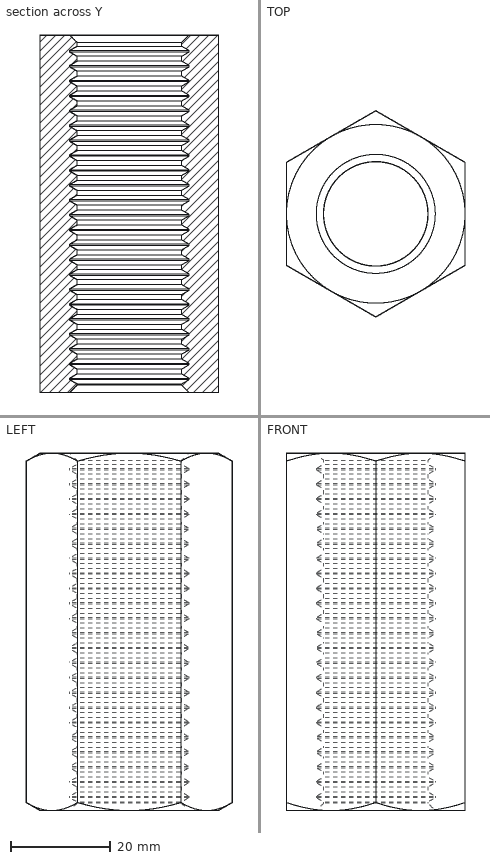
import cadquery as cq
import math

across_flats = 36.0
length = 72.0
hexagon_sides = 6
across_corners = across_flats / math.cos(math.pi / hexagon_sides)

thread_diameter = 24.0
bore_diameter = 21.0
pitch = 3.0
crest_width = 1.0
groove_width = pitch - crest_width
flank_angle = 30.0
groove_count = 23
lowest_groove_start = 1.75

corner_chamfer_angle = 30.0
mouth_chamfer_angle = 45.0

bore_radius = bore_diameter / 2
thread_radius = thread_diameter / 2
thread_depth = thread_radius - bore_radius
flank_width = thread_depth * math.tan(math.radians(flank_angle))
mouth_chamfer_depth = thread_depth / math.tan(math.radians(mouth_chamfer_angle))


def make_hexagon_body():
    """Hexagonal bar along Z with flats facing +X and -X, starting at Z = 0."""
    return (
        cq.Workplane("XY")
        .transformed(rotate=(0, 0, 90))
        .polygon(hexagon_sides, across_corners)
        .extrude(length)
    )


def make_corner_envelope():
    """Turned envelope whose conical ends trim the hexagon corners."""
    face_radius = across_flats / 2
    corner_radius = across_corners / 2
    corner_drop = (corner_radius - face_radius) * math.tan(math.radians(corner_chamfer_angle))
    return (
        cq.Workplane("XZ")
        .lineTo(face_radius, 0)
        .lineTo(corner_radius, corner_drop)
        .lineTo(corner_radius, length - corner_drop)
        .lineTo(face_radius, length)
        .lineTo(0, length)
        .close()
        .revolve(360, (0, 0, 0), (0, 1, 0))
    )


def make_threaded_bore():
    """Through bore with conical mouths, ringed by one thread groove per pitch."""
    profile = (
        cq.Workplane("XZ")
        .lineTo(thread_radius, 0)
        .lineTo(bore_radius, mouth_chamfer_depth)
    )
    for index in range(groove_count):
        groove_start = lowest_groove_start + index * pitch
        groove_end = groove_start + groove_width
        profile = (
            profile
            .lineTo(bore_radius, groove_start)
            .lineTo(thread_radius, groove_start + flank_width)
            .lineTo(thread_radius, groove_end - flank_width)
            .lineTo(bore_radius, groove_end)
        )
    return (
        profile
        .lineTo(bore_radius, length - mouth_chamfer_depth)
        .lineTo(thread_radius, length)
        .lineTo(0, length)
        .close()
        .revolve(360, (0, 0, 0), (0, 1, 0))
    )


body = make_hexagon_body().intersect(make_corner_envelope())
result = body.cut(make_threaded_bore())